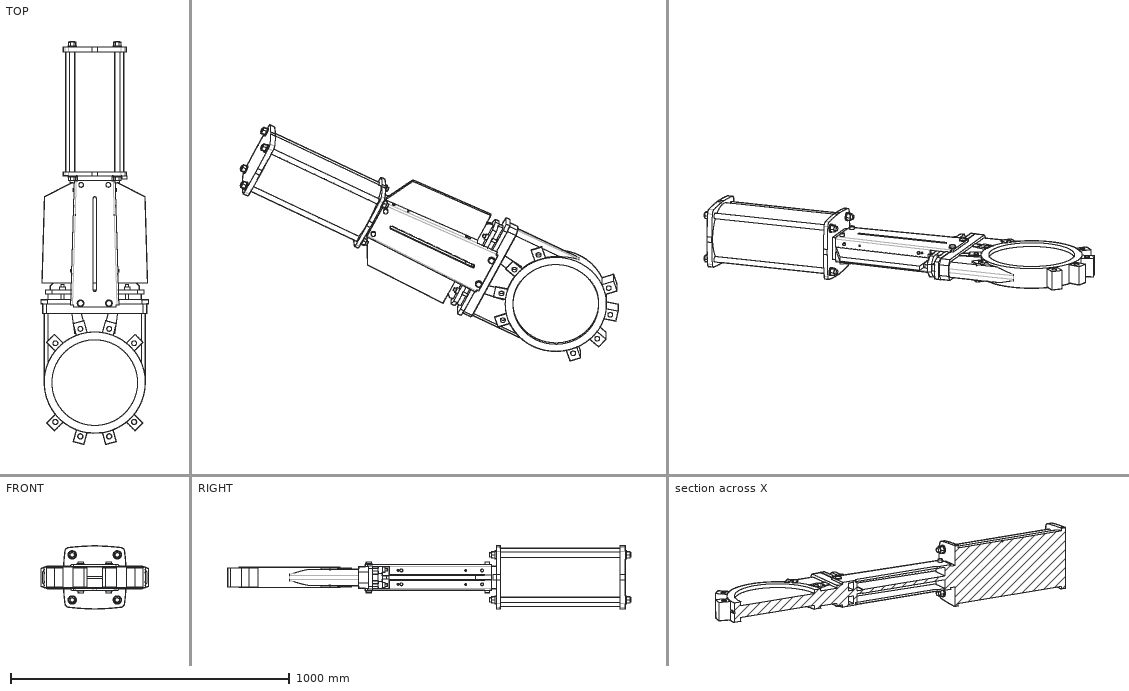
import cadquery as cq
import math


RING_RADIUS = 182.0
RING_HALF_HEIGHT = 37.0
BORE_DIAMETER = 308.0
GATE_HALF_HEIGHT = 23.0
RIM_GROOVE_HALF_LENGTH = 40.0
RIM_GROOVE_HALF_HEIGHT = 3.5
RIM_GROOVE_DEPTH = 2.0

LUG_WIDTH = 40.0
LUG_END_RADIUS = 225.0
LUG_HALF_HEIGHT = 34.5
LUG_HOLE_CIRCLE_RADIUS = 200.0
LUG_HOLE_DIAMETER = 17.5
BLIND_HOLE_FLOOR_Z = 13.0
LUG_ANGLES = (15.0, 45.0)
RIB_INNER_X = 48.0
RIB_OUTER_X = 82.0
RIB_INNER_FOOT_X = 29.0
RIB_OUTER_FOOT_X = 72.0
RIB_HALF_HEIGHT = 31.0

BODY_TOP_Y = 248.0
BODY_HALF_WIDTH = RING_RADIUS
BODY_FLAT_HALF_WIDTH = 168.0
BODY_HALF_HEIGHT = 29.0
BODY_EDGE_HALF_HEIGHT = 7.0
BODY_EDGE_BULGE = 4.7

BODY_FLANGE_TOP_Y = 283.0
BODY_FLANGE_HALF_WIDTH = 187.0
BODY_FLANGE_HALF_HEIGHT = 39.0
BODY_FLANGE_CORNER = (14.0, 19.0)
MOUNT_FLANGE_TOP_Y = 298.5
MOUNT_FLANGE_HALF_WIDTH = 194.0
MOUNT_FLANGE_HALF_HEIGHT = 41.0
MOUNT_FLANGE_CORNER = (24.0, 9.0)

BLADE_HALF_WIDTH = 160.0
BLADE_HALF_HEIGHT = 6.5
BLADE_TOP_Y = 362.0
BLADE_CORNER = 14.0
PACKING_HALF_WIDTH = 168.0
PACKING_HALF_HEIGHT = 12.0
GLAND_BOTTOM_Y = 318.0
GLAND_TOP_Y = 333.5
GLAND_HALF_WIDTH = 177.0
GLAND_HALF_HEIGHT = 39.0
GLAND_CORNER = (23.0, 25.0)
STUD_DIAMETER = 11.0
STUD_X = 116.0
STUD_Z = 28.0
STUD_TOP_Y = 352.0
STUD_NUT_DIAMETER = 20.0
STUD_NUT_HEIGHT = 10.0

YOKE_TOP_Y = 726.0
YOKE_BOTTOM_Y = 272.0
YOKE_TOP_HALF_WIDTH = 73.5
YOKE_BOTTOM_HALF_WIDTH = 87.0
YOKE_OUTER_Z = 47.0
YOKE_INNER_Z = 9.5
YOKE_THICKNESS = 8.0
YOKE_BEND_RADIUS = 7.0
YOKE_FLANGE_END_Y = 358.0
YOKE_FOOT_HALF_WIDTH = 76.0
YOKE_FOOT_SHOULDER_Y = 279.5
SLOT_WIDTH = 11.0
SLOT_TOP_Y = 668.0
SLOT_BOTTOM_Y = 328.0
TOP_BOLT = (49.0, 710.5)
TOP_BOLT_DIAMETER = 17.0
FOOT_BOLT = (51.0, 285.0)
FOOT_BOLT_DIAMETER = 20.0
FOOT_WASHER_DIAMETER = 24.0
FOOT_WASHER_HEIGHT = 2.5
BOLT_HEAD_TOP_Z = 56.0
SIDE_HOLE_YS = (390.0, 633.0)
SIDE_HOLE_DIAMETER = 5.5
SIDE_SCREW_YS = (402.0, 692.0)
SIDE_SCREW_DIAMETER = 10.0
SIDE_SCREW_HEIGHT = 4.0
SIDE_FEATURE_Z = 25.0

GUARD_HALF_HEIGHT = 8.0
GUARD_BOTTOM_Y = 358.0
GUARD_BOTTOM_HALF_WIDTH = 190.0
GUARD_SHOULDER_Y = 668.0
GUARD_SHOULDER_HALF_WIDTH = 181.0
GUARD_TOP_Y = 726.0
GUARD_TOP_HALF_WIDTH = 68.0

TUBE_DIAMETER = 210.0
LOWER_CAP_BOTTOM_Y = 743.0
LOWER_CAP_TOP_Y = 757.5
UPPER_CAP_BOTTOM_Y = 1187.5
UPPER_CAP_TOP_Y = 1206.5
CAP_MIDDLE = 113.5
CAP_CORNER = 106.0
CAP_CORNER_RADIUS = 16.0
CAP_PAD_WIDTH = 20.0
CAP_PAD_HEIGHT = 114.0
NECK_HALF_WIDTH = 62.0
NECK_HALF_HEIGHT = 41.0
NECK_BOTTOM_Y = 700.0
NECK_INSET_HALF_HEIGHT = YOKE_OUTER_Z - YOKE_THICKNESS
FITTING_X = (97.0, 116.0)
FITTING_HALF_HEIGHT = 10.0
FITTING_BOTTOM_Y = 731.0

TIE_ROD_DIAMETER = 20.0
TIE_ROD_OFFSET = 81.0
TIE_WASHER_DIAMETER = 30.0
TIE_WASHER_HEIGHT = 4.0
TIE_NUT_DIAMETER = 27.0
TIE_NUT_HEIGHT = 13.0
ROD_TIP_DIAMETER = 16.0
OVERALL_LENGTH = 1449.17
LUG_TIP_Y = -(
    LUG_END_RADIUS * math.cos(math.radians(LUG_ANGLES[0]))
    + LUG_WIDTH / 2 * math.sin(math.radians(LUG_ANGLES[0]))
)
ROD_TOP_Y = OVERALL_LENGTH + LUG_TIP_Y
ROD_BOTTOM_Y = 718.0

SIDES = (-1, 1)


def box(x, y, z):
    """Box spanning the given (low, high) pairs."""
    size = (x[1] - x[0], y[1] - y[0], z[1] - z[0])
    return cq.Workplane("XY").box(*size, centered=False).translate((x[0], y[0], z[0]))


def centred(half):
    """(low, high) pair about zero."""
    return (-half, half)


def section_at(y):
    """Workplane normal to +Y at height y, with local x = X and local y = -Z."""
    return cq.Workplane("ZX", origin=(0, y, 0)).transformed(rotate=(0, 0, 90))


def rod(x, z, y_low, y_high, diameter):
    """Round bar parallel to Y."""
    return section_at(y_low).center(x, -z).circle(diameter / 2).extrude(y_high - y_low)


def disc(x, y, z_low, z_high, diameter):
    """Round bar parallel to Z."""
    return cq.Workplane("XY", origin=(x, y, z_low)).circle(diameter / 2).extrude(z_high - z_low)


def chamfered_bar(half_width, half_height, corner, y_low, y_high):
    """Rectangular bar along Y whose four long edges are bevelled by corner = (x, z)."""
    inner_x = half_width - corner[0]
    inner_z = half_height - corner[1]
    points = [
        (half_width, inner_z),
        (inner_x, half_height),
        (-inner_x, half_height),
        (-half_width, inner_z),
        (-half_width, -inner_z),
        (-inner_x, -half_height),
        (inner_x, -half_height),
        (half_width, -inner_z),
    ]
    return section_at(y_low).polyline(points).close().extrude(y_high - y_low)


def plate(points, z_low, z_high):
    """Plate normal to Z with a polygonal outline."""
    return cq.Workplane("XY", origin=(0, 0, z_low)).polyline(points).close().extrude(z_high - z_low)


def symmetric_outline(right_half):
    """Full outline from its +X points, listed in order."""
    return right_half + [(-x, y) for x, y in reversed(right_half)]


def both_faces(solid):
    """The solid joined with its mirror image across the XY plane."""
    return solid.union(solid.mirror("XY"))


def rim_groove():
    """Shallow groove in the rim between the two lowest lugs."""
    lower_rim = box(
        centred(RIM_GROOVE_HALF_LENGTH), (-RING_RADIUS, 0), centred(RIM_GROOVE_HALF_HEIGHT)
    )
    core_diameter = 2 * (RING_RADIUS - RIM_GROOVE_DEPTH)
    return lower_rim.cut(disc(0, 0, -RIM_GROOVE_HALF_HEIGHT, RIM_GROOVE_HALF_HEIGHT, core_diameter))


def body():
    edge_z = BODY_EDGE_HALF_HEIGHT
    flat_x = BODY_FLAT_HALF_WIDTH
    slab = (
        section_at(0)
        .moveTo(BODY_HALF_WIDTH, -edge_z)
        .lineTo(BODY_HALF_WIDTH, edge_z)
        .sagittaArc((flat_x, BODY_HALF_HEIGHT), -BODY_EDGE_BULGE)
        .lineTo(-flat_x, BODY_HALF_HEIGHT)
        .sagittaArc((-BODY_HALF_WIDTH, edge_z), -BODY_EDGE_BULGE)
        .lineTo(-BODY_HALF_WIDTH, -edge_z)
        .sagittaArc((-flat_x, -BODY_HALF_HEIGHT), -BODY_EDGE_BULGE)
        .lineTo(flat_x, -BODY_HALF_HEIGHT)
        .sagittaArc((BODY_HALF_WIDTH, -edge_z), -BODY_EDGE_BULGE)
        .close()
        .extrude(BODY_TOP_Y)
    )
    ring = disc(0, 0, -RING_HALF_HEIGHT, RING_HALF_HEIGHT, 2 * RING_RADIUS)
    body_flange = chamfered_bar(
        BODY_FLANGE_HALF_WIDTH, BODY_FLANGE_HALF_HEIGHT, BODY_FLANGE_CORNER, BODY_TOP_Y, BODY_FLANGE_TOP_Y
    )
    mount_flange = chamfered_bar(
        MOUNT_FLANGE_HALF_WIDTH,
        MOUNT_FLANGE_HALF_HEIGHT,
        MOUNT_FLANGE_CORNER,
        BODY_FLANGE_TOP_Y,
        MOUNT_FLANGE_TOP_Y,
    )
    ring = ring.cut(rim_groove())
    return slab.union(ring).union(body_flange).union(mount_flange)


def lug(angle):
    """Lug pointing along +Y, then turned about the bore axis."""
    block = box(centred(LUG_WIDTH / 2), (0, LUG_END_RADIUS), centred(LUG_HALF_HEIGHT))
    return block.rotate((0, 0, 0), (0, 0, 1), angle)


def rib(side):
    """Rib from the body flange to the ring, beside an upper inner lug."""
    foot_y = RING_RADIUS * math.cos(math.radians(LUG_ANGLES[0]))
    outline = [
        (side * RIB_INNER_X, BODY_TOP_Y),
        (side * RIB_OUTER_X, BODY_TOP_Y),
        (side * RIB_OUTER_FOOT_X, foot_y),
        (side * RIB_INNER_FOOT_X, foot_y),
    ]
    return plate(outline, -RIB_HALF_HEIGHT, RIB_HALF_HEIGHT)


def lug_hole(angle, z_low, z_high):
    x = LUG_HOLE_CIRCLE_RADIUS * math.sin(math.radians(angle))
    y = LUG_HOLE_CIRCLE_RADIUS * math.cos(math.radians(angle))
    return disc(x, y, z_low, z_high, LUG_HOLE_DIAMETER)


def valve():
    solid = body()
    for side in SIDES:
        solid = solid.union(rib(side))
        for angle in LUG_ANGLES:
            solid = solid.union(lug(side * angle)).union(lug(side * (180 - angle)))
    recess = disc(0, 0, GATE_HALF_HEIGHT, RING_HALF_HEIGHT, BORE_DIAMETER)
    solid = solid.cut(both_faces(recess))
    for side in SIDES:
        for angle in LUG_ANGLES:
            solid = solid.cut(lug_hole(180 - side * angle, -LUG_HALF_HEIGHT, LUG_HALF_HEIGHT))
            blind = lug_hole(side * angle, BLIND_HOLE_FLOOR_Z, LUG_HALF_HEIGHT)
            solid = solid.cut(both_faces(blind))
    return solid


def blade_and_gland():
    blade = (
        box(centred(BLADE_HALF_WIDTH), (BODY_TOP_Y, BLADE_TOP_Y), centred(BLADE_HALF_HEIGHT))
        .edges("|Z and >Y")
        .chamfer(BLADE_CORNER)
    )
    packing = box(
        centred(PACKING_HALF_WIDTH), (MOUNT_FLANGE_TOP_Y, GLAND_BOTTOM_Y), centred(PACKING_HALF_HEIGHT)
    )
    gland = chamfered_bar(GLAND_HALF_WIDTH, GLAND_HALF_HEIGHT, GLAND_CORNER, GLAND_BOTTOM_Y, GLAND_TOP_Y)
    solid = blade.union(packing).union(gland)
    for x in (-STUD_X, STUD_X):
        for z in (-STUD_Z, STUD_Z):
            stud = rod(x, z, BODY_FLANGE_TOP_Y, STUD_TOP_Y, STUD_DIAMETER)
            nut = rod(x, z, GLAND_TOP_Y, GLAND_TOP_Y + STUD_NUT_HEIGHT, STUD_NUT_DIAMETER)
            solid = solid.union(stud).union(nut)
    return solid


def yoke_half_width(y):
    """Half width of the tapering channel at height y."""
    fraction = (y - YOKE_BOTTOM_Y) / (YOKE_TOP_Y - YOKE_BOTTOM_Y)
    return YOKE_BOTTOM_HALF_WIDTH + fraction * (YOKE_TOP_HALF_WIDTH - YOKE_BOTTOM_HALF_WIDTH)


def yoke_outline(y_low, inset):
    return symmetric_outline(
        [(yoke_half_width(YOKE_TOP_Y) - inset, YOKE_TOP_Y), (yoke_half_width(y_low) - inset, y_low)]
    )


def yoke_channel():
    """Channel on the +Z side: a slotted web with two flanges turned towards the guard."""
    web_z = YOKE_OUTER_Z - YOKE_THICKNESS
    channel = plate(yoke_outline(YOKE_FOOT_SHOULDER_Y, 0), YOKE_INNER_Z, YOKE_OUTER_Z)
    channel = channel.faces(">Z").edges("not |X").fillet(YOKE_BEND_RADIUS)
    hollow = plate(yoke_outline(YOKE_FOOT_SHOULDER_Y, YOKE_THICKNESS), YOKE_INNER_Z, web_z)
    below_flanges = box(
        centred(YOKE_BOTTOM_HALF_WIDTH), (YOKE_BOTTOM_Y, YOKE_FLANGE_END_Y), (YOKE_INNER_Z, web_z)
    )
    foot = box(
        centred(YOKE_FOOT_HALF_WIDTH), (YOKE_BOTTOM_Y, YOKE_FLANGE_END_Y), (web_z, YOKE_OUTER_Z)
    )
    slot = (
        cq.Workplane("XY", origin=(0, (SLOT_TOP_Y + SLOT_BOTTOM_Y) / 2, web_z))
        .slot2D(SLOT_TOP_Y - SLOT_BOTTOM_Y, SLOT_WIDTH, 90)
        .extrude(YOKE_THICKNESS)
    )
    channel = channel.cut(hollow).cut(below_flanges).union(foot).cut(slot)
    for side in SIDES:
        channel = channel.union(side_screws(side)).cut(side_holes(side))
        channel = channel.union(web_bolts(side))
    return channel


def web_bolts(side):
    top_x, top_y = TOP_BOLT
    foot_x, foot_y = FOOT_BOLT
    washer_top = YOKE_OUTER_Z + FOOT_WASHER_HEIGHT
    top = disc(side * top_x, top_y, YOKE_OUTER_Z, BOLT_HEAD_TOP_Z, TOP_BOLT_DIAMETER)
    washer = disc(side * foot_x, foot_y, YOKE_OUTER_Z, washer_top, FOOT_WASHER_DIAMETER)
    foot = disc(side * foot_x, foot_y, washer_top, BOLT_HEAD_TOP_Z, FOOT_BOLT_DIAMETER)
    return top.union(washer).union(foot)


def cross_pin(side, y, x_low, x_high, diameter):
    """Round bar along X on one side of the yoke, at the height of the side screws."""
    pin = cq.Workplane("YZ", origin=(x_low, y, SIDE_FEATURE_Z)).circle(diameter / 2).extrude(x_high - x_low)
    return pin if side > 0 else pin.mirror("YZ")


def side_screws(side):
    screws = cq.Workplane("XY")
    for y in SIDE_SCREW_YS:
        face_x = yoke_half_width(y)
        screws = screws.union(
            cross_pin(side, y, face_x - YOKE_THICKNESS / 2, face_x + SIDE_SCREW_HEIGHT, SIDE_SCREW_DIAMETER)
        )
    return screws


def side_holes(side):
    holes = cq.Workplane("XY")
    for y in SIDE_HOLE_YS:
        face_x = yoke_half_width(y)
        holes = holes.union(
            cross_pin(side, y, face_x - 2 * YOKE_THICKNESS, face_x + YOKE_THICKNESS, SIDE_HOLE_DIAMETER)
        )
    return holes


def guard():
    outline = symmetric_outline(
        [
            (GUARD_TOP_HALF_WIDTH, GUARD_TOP_Y),
            (GUARD_SHOULDER_HALF_WIDTH, GUARD_SHOULDER_Y),
            (GUARD_BOTTOM_HALF_WIDTH, GUARD_BOTTOM_Y),
        ]
    )
    return plate(outline, -GUARD_HALF_HEIGHT, GUARD_HALF_HEIGHT)


def cap(y_low, y_high):
    """Square end cap with bowed sides, rounded corners and a flat pad on each side."""
    c = CAP_CORNER
    m = CAP_MIDDLE
    solid = (
        section_at(y_low)
        .moveTo(c, -c)
        .threePointArc((m, 0), (c, c))
        .threePointArc((0, m), (-c, c))
        .threePointArc((-m, 0), (-c, -c))
        .threePointArc((0, -m), (c, -c))
        .close()
        .extrude(y_high - y_low)
        .edges("|Y")
        .fillet(CAP_CORNER_RADIUS)
    )
    pad = centred(CAP_PAD_WIDTH / 2)
    reach = centred(CAP_PAD_HEIGHT)
    return solid.union(box(pad, (y_low, y_high), reach)).union(box(reach, (y_low, y_high), pad))


def nut(x, z, y_low):
    hexagon = section_at(y_low).center(x, -z).polygon(6, TIE_NUT_DIAMETER)
    return hexagon.extrude(TIE_NUT_HEIGHT)


def tie_rod(x, z):
    upper_nut_y = UPPER_CAP_TOP_Y + TIE_WASHER_HEIGHT
    lower_nut_y = LOWER_CAP_BOTTOM_Y - TIE_WASHER_HEIGHT
    return (
        rod(x, z, LOWER_CAP_BOTTOM_Y, UPPER_CAP_TOP_Y, TIE_ROD_DIAMETER)
        .union(rod(x, z, ROD_BOTTOM_Y, ROD_TOP_Y, ROD_TIP_DIAMETER))
        .union(rod(x, z, UPPER_CAP_TOP_Y, upper_nut_y, TIE_WASHER_DIAMETER))
        .union(rod(x, z, lower_nut_y, LOWER_CAP_BOTTOM_Y, TIE_WASHER_DIAMETER))
        .union(nut(x, z, upper_nut_y))
        .union(nut(x, z, lower_nut_y - TIE_NUT_HEIGHT))
    )


def cylinder():
    tube = rod(0, 0, LOWER_CAP_TOP_Y, UPPER_CAP_BOTTOM_Y, TUBE_DIAMETER)
    neck = box(centred(NECK_HALF_WIDTH), (YOKE_TOP_Y, LOWER_CAP_BOTTOM_Y), centred(NECK_HALF_HEIGHT))
    neck_inset = box(
        centred(NECK_HALF_WIDTH), (NECK_BOTTOM_Y, YOKE_TOP_Y), centred(NECK_INSET_HALF_HEIGHT)
    )
    fitting = box(FITTING_X, (FITTING_BOTTOM_Y, LOWER_CAP_BOTTOM_Y), centred(FITTING_HALF_HEIGHT))
    lower_cap = cap(LOWER_CAP_BOTTOM_Y, LOWER_CAP_TOP_Y)
    upper_cap = cap(UPPER_CAP_BOTTOM_Y, UPPER_CAP_TOP_Y)
    solid = tube.union(lower_cap).union(upper_cap).union(neck).union(neck_inset).union(fitting)
    for x in (-TIE_ROD_OFFSET, TIE_ROD_OFFSET):
        for z in (-TIE_ROD_OFFSET, TIE_ROD_OFFSET):
            solid = solid.union(tie_rod(x, z))
    return solid


result = valve().union(blade_and_gland()).union(both_faces(yoke_channel())).union(guard()).union(cylinder())